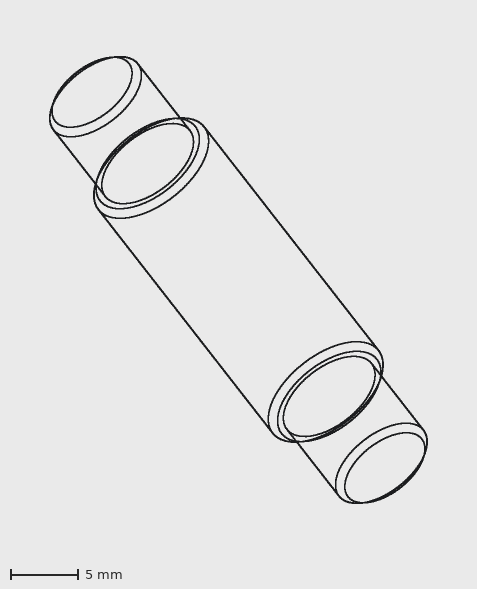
import cadquery as cq

total_length = 42.0
body_diameter = 10.0
journal_diameter = 8.0
journal_length = 8.0
chamfer_size = 0.5

body_length = total_length - 2 * journal_length


def chamfered_cylinder(diameter, length):
    """Cylinder along X, centred on the origin, with both end edges chamfered."""
    start_plane = cq.Workplane("YZ", origin=(-length / 2, 0, 0))
    cylinder = start_plane.circle(diameter / 2).extrude(length)
    return cylinder.faces("<X or >X").edges().chamfer(chamfer_size)


core = chamfered_cylinder(journal_diameter, total_length)
body = chamfered_cylinder(body_diameter, body_length)

result = core.union(body)